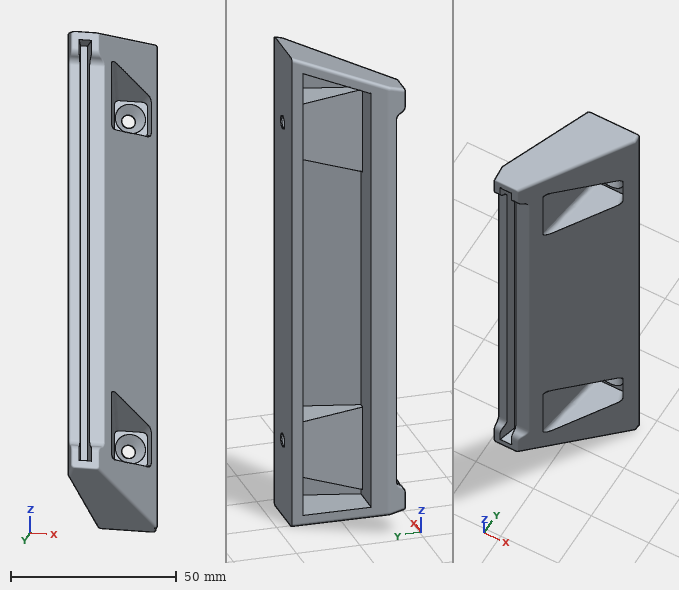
import cadquery as cq
import math

width = 32.8
depth = 31.3
length = 154.8

front_width = 8.5
side_depth = 5.3
back_start = 14.7
edge_depth = 2.3
draft = 14.3
draft_slope = math.tan(math.radians(draft))
wall = 3.0
boss_wall = 3.4

end_round = 1.0
side_round = 2.0
rim_round = 0.5

margin = 0.02

step_depth = 2.8
step_start = 63.9
step_end = 59.6

groove_left = 2.3
groove_right = 6.2
groove_floor_left = 4.0
groove_depth = 5.7
groove_half_length = 66.9

pocket_front = 10.0
pocket_back = depth - wall
pocket_end_wall = 3.7

screw_x = 24.3
screw_z = 52.5
hole_diameter = 4.2
sink_diameter = 9.3
recess_left = 19.3
recess_right = 29.5
recess_half_height = 5.5
recess_corner = 1.5

diagonal_start = (front_width, 0)
diagonal_end = (width, depth - edge_depth)
diagonal_slope = (diagonal_end[1] - diagonal_start[1]) / (diagonal_end[0] - diagonal_start[0])


def half_length_at(y):
    """Distance from mid-length to the sloping end face at depth y."""
    return length / 2 - (depth - y) * draft_slope


def prism_along_z(points, half_length):
    """Section in X and Y, extruded evenly about mid-length."""
    return cq.Workplane("XY", origin=(0, 0, -half_length)).polyline(points).close().extrude(2 * half_length)


def end_trapezoid(front, back, inset):
    """Block between two depths whose ends run parallel to the bar's, moved in by inset along Z."""
    front_half = half_length_at(front) - inset
    back_half = half_length_at(back) - inset
    outline = [(front, -front_half), (back, -back_half), (back, back_half), (front, front_half)]
    return cq.Workplane("YZ").polyline(outline).close().extrude(width)


def edges_at(body, x, y):
    """Edges along Z that pass through the section point (x, y)."""
    low = (x - margin, y - margin, -length)
    high = (x + margin, y + margin, length)
    return body.edges(cq.selectors.BoxSelector(low, high)).edges("|Z")


def make_bar():
    section = [
        (0, 0),
        diagonal_start,
        diagonal_end,
        (width, depth),
        (back_start, depth),
        (0, side_depth),
    ]
    bar = prism_along_z(section, length / 2).intersect(end_trapezoid(0, depth, 0))
    bar = edges_at(bar, 0, side_depth).fillet(side_round)
    bar = edges_at(bar, *diagonal_end).fillet(end_round)
    for end in (">Z", "<Z"):
        bar = bar.faces(end).edges("not(<Y or >Y)").fillet(end_round)
    return bar


def make_front_step():
    """Long shallow cut that rises to each lug through two equal tangent arcs."""
    middle = (step_depth / 2, (step_start + step_end) / 2)
    upper_half = (
        cq.Workplane("YZ")
        .moveTo(step_depth, 0)
        .lineTo(step_depth, step_end)
        .tangentArcPoint(middle, relative=False)
        .tangentArcPoint((0, step_start), relative=False)
        .lineTo(0, 0)
        .close()
        .extrude(width)
    )
    return upper_half.union(upper_half.mirror("XY"))


def round_rim(bar):
    """Round the outline of the front face, following it down into the step.

    Edges along X between a lug and the step are left sharp; only those at the ends are rounded.
    """
    front_zone = cq.selectors.BoxSelector(
        (-margin, -margin, -length), (width, step_depth + margin, length), boundingbox=True
    )
    return bar.edges(front_zone).edges("(not |X) or >Z or <Z").fillet(rim_round)


def make_groove():
    section = [
        (groove_left, 0),
        (groove_right, 0),
        (groove_right, groove_depth),
        (groove_floor_left, groove_depth),
    ]
    return prism_along_z(section, groove_half_length)


def make_recess(z, offset):
    """Drafted block open towards the diagonal face, grown by offset on every drafted wall."""
    half = recess_half_height + offset
    center_x = (recess_left + recess_right) / 2
    floor_width = recess_right - recess_left + 2 * offset
    spread = 2 * pocket_back * draft_slope
    return (
        cq.Workplane("XZ", origin=(center_x, pocket_back, z))
        .rect(floor_width, 2 * half)
        .workplane(offset=pocket_back)
        .rect(floor_width + spread, 2 * half + spread)
        .loft(ruled=True)
    )


def make_pocket():
    """Hollow behind the slanted side, following the diagonal face at wall thickness."""
    shift = wall * math.hypot(1, diagonal_slope) / diagonal_slope
    inner_front = front_width + pocket_front / diagonal_slope - shift
    inner_back = front_width + pocket_back / diagonal_slope - shift
    section = [
        (0, pocket_front),
        (inner_front, pocket_front),
        (inner_back, pocket_back),
        (0, pocket_back),
    ]
    pocket = prism_along_z(section, length / 2)
    pocket = pocket.intersect(end_trapezoid(pocket_front, pocket_back, pocket_end_wall))
    for z in (-screw_z, screw_z):
        pocket = pocket.cut(make_recess(z, boss_wall))
    return pocket


def make_screw_hole(z):
    """Countersunk hole from the recess floor through the back."""
    sink_depth = (sink_diameter - hole_diameter) / 2
    bore = cq.Workplane("XZ", origin=(screw_x, pocket_back, z)).circle(hole_diameter / 2).extrude(-wall)
    sink = cq.Solid.makeCone(
        sink_diameter / 2,
        hole_diameter / 2,
        sink_depth,
        pnt=cq.Vector(screw_x, pocket_back, z),
        dir=cq.Vector(0, 1, 0),
    )
    return bore.union(cq.Workplane(sink))


result = round_rim(make_bar().cut(make_front_step()))
result = result.cut(make_groove()).cut(make_pocket())
for screw_level in (-screw_z, screw_z):
    recess = make_recess(screw_level, 0).edges("not(#Y)").fillet(recess_corner)
    result = result.cut(recess).cut(make_screw_hole(screw_level))